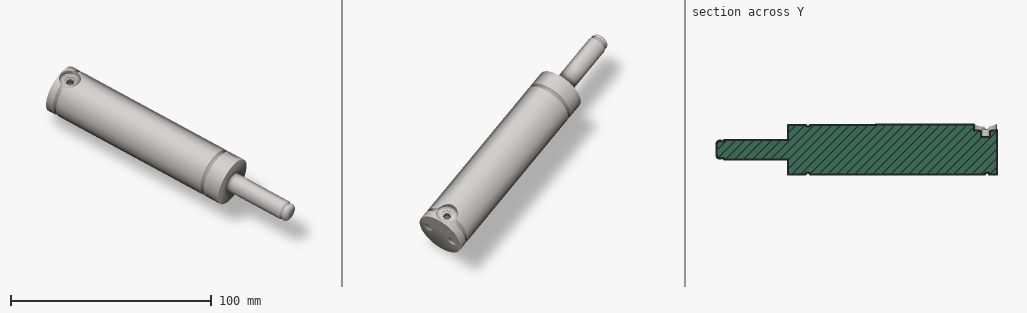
import cadquery as cq
import math

total_length = 140.0
body_length = 104.3
body_radius = 25.0 / 2
rod_radius = 10.0 / 2

groove_width = 2.1
groove_depth = 1.0
groove_positions = (5.0, 94.4)

neck_radius = 4.2
neck_length = 0.8
neck_taper = 0.8
head_radius = 4.6
head_length = 2.4
head_rounding = 2.0

pocket_x = 5.9
pocket_radius = 5.5
pocket_depth = 2.8
valve_radius = 3.1
valve_recess = 0.4
socket_width_across_corners = 4.3
socket_depth = 2.8

mount_spacing = 14.0
mount_hole_radius = 2.1
mount_rim_radius = 2.5
mount_hole_depth = 8.4
drill_point_angle = 118.0


def groove_ring(x):
    """Ring whose section is an arc reaching inward from the body surface."""
    section = (
        cq.Workplane("XY")
        .moveTo(x - groove_width / 2, body_radius)
        .threePointArc((x, body_radius - groove_depth), (x + groove_width / 2, body_radius))
        .close()
    )
    return section.revolve(360, (0, 0, 0), (1, 0, 0))


def body():
    cylinder = cq.Workplane("YZ").circle(body_radius).extrude(body_length)
    for x in groove_positions:
        cylinder = cylinder.cut(groove_ring(x))
    return cylinder


def rod():
    head_start = total_length - head_length
    neck_start = head_start - neck_length
    profile = (
        cq.Workplane("XY")
        .moveTo(body_length, 0)
        .lineTo(body_length, rod_radius)
        .lineTo(neck_start - neck_taper, rod_radius)
        .lineTo(neck_start, neck_radius)
        .lineTo(head_start, neck_radius)
        .lineTo(head_start, head_radius)
        .lineTo(total_length - head_rounding, head_radius)
        .radiusArc((total_length, head_radius - head_rounding), head_rounding)
        .lineTo(total_length, 0)
        .close()
    )
    return profile.revolve(360, (0, 0, 0), (1, 0, 0))


def valve_pocket():
    """Round pocket holding a slightly recessed screw with a hexagon socket."""
    pocket_floor = body_radius - pocket_depth
    screw_face = pocket_floor - valve_recess
    pocket = cq.Workplane("XY", origin=(pocket_x, 0, pocket_floor)).circle(pocket_radius).extrude(pocket_depth)
    recess = cq.Workplane("XY", origin=(pocket_x, 0, screw_face)).circle(valve_radius).extrude(valve_recess)
    socket = (
        cq.Workplane("XY", origin=(pocket_x, 0, screw_face))
        .polygon(6, socket_width_across_corners)
        .extrude(-socket_depth)
    )
    return pocket.union(recess).union(socket)


def mounting_hole(y):
    """Drilled hole along X with a 45 degree countersink and a conical bottom."""
    tip_length = mount_hole_radius / math.tan(math.radians(drill_point_angle / 2))
    countersink_depth = mount_rim_radius - mount_hole_radius
    profile = (
        cq.Workplane("XY", origin=(0, y, 0))
        .polyline(
            [
                (0, 0),
                (0, mount_rim_radius),
                (countersink_depth, mount_hole_radius),
                (mount_hole_depth, mount_hole_radius),
                (mount_hole_depth + tip_length, 0),
            ]
        )
        .close()
    )
    return profile.revolve(360, (0, 0, 0), (1, 0, 0))


result = body().union(rod()).cut(valve_pocket())
for side in (-1, 1):
    result = result.cut(mounting_hole(side * mount_spacing / 2))